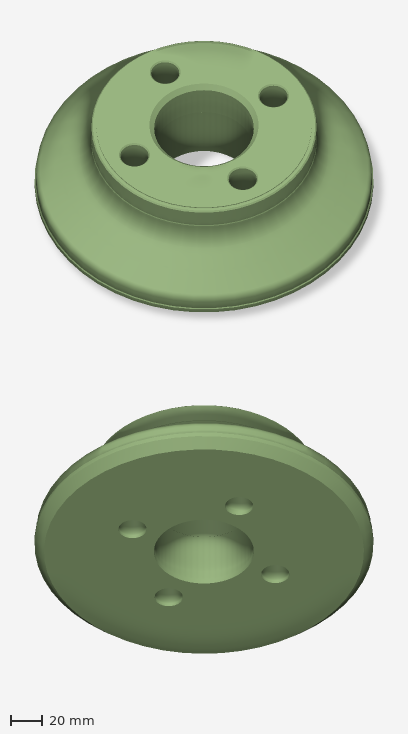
import cadquery as cq
import math

rim_diameter = 216.0
rim_height = 9.0
rim_chamfer = 6.0

total_height = 63.0
skirt_radius = 214.0 / 2
skirt_round_start = 15.1
skirt_round_radius = 5.2
flare_angle = math.radians(32.2)
neck_radius = 144.0 / 2
neck_height = 48.6
neck_fillet_radius = 15.1

flange_radius = 143.5 / 2
flange_chamfer = 0.9
neck_bevel_height = 0.6
top_face_radius = 137.5 / 2
top_step_height = 0.6

bore_diameter = 63.5
lower_bore_diameter = 63.7
lower_bore_height = 38.5
bore_chamfer = 3.0

bolt_hole_diameter = 18.0
bolt_hole_chamfer = 0.9
bolt_spacing = 71.7


def arc_point(center, radius, angle):
    """Point on a circle in the (radius, height) plane."""
    return (center[0] + radius * math.cos(angle), center[1] + radius * math.sin(angle))


def make_hub():
    """Revolve the flared outline, with its rounded skirt edge and filleted neck."""
    flare_normal = math.pi / 2 - flare_angle
    skirt_center = (skirt_radius - skirt_round_radius, skirt_round_start)
    neck_center = (neck_radius + neck_fillet_radius, neck_height)
    flange_top = total_height - top_step_height

    outline = (
        cq.Workplane("XZ")
        .moveTo(0, rim_height)
        .lineTo(skirt_radius, rim_height)
        .lineTo(skirt_radius, skirt_round_start)
        .threePointArc(
            arc_point(skirt_center, skirt_round_radius, flare_normal / 2),
            arc_point(skirt_center, skirt_round_radius, flare_normal),
        )
        .lineTo(*arc_point(neck_center, neck_fillet_radius, math.pi + flare_normal))
        .threePointArc(
            arc_point(neck_center, neck_fillet_radius, math.pi + flare_normal / 2),
            (neck_radius, neck_height),
        )
        .lineTo(flange_radius, neck_height + neck_bevel_height)
        .lineTo(flange_radius, flange_top - flange_chamfer)
        .lineTo(flange_radius - flange_chamfer, flange_top)
        .lineTo(top_face_radius, flange_top)
        .lineTo(top_face_radius, total_height)
        .lineTo(0, total_height)
        .close()
    )
    return outline.revolve(360, (0, 0, 0), (0, 1, 0))


def make_rim():
    """Flat disc with a chamfered lower edge."""
    disc = cq.Workplane("XY").circle(rim_diameter / 2).extrude(rim_height)
    return disc.faces("<Z").edges().chamfer(rim_chamfer)


def make_bore():
    """Cutter for the stepped central bore with its entry chamfer."""
    lower = cq.Workplane("XY").circle(lower_bore_diameter / 2).extrude(lower_bore_height)
    upper = cq.Workplane("XY").circle(bore_diameter / 2).extrude(total_height)
    return upper.union(lower).union(make_countersink(bore_diameter, bore_chamfer))


def make_countersink(hole_diameter, chamfer):
    """Cone on the Z axis that chamfers a hole at the top face by 45 degrees."""
    hole_radius = hole_diameter / 2
    base = cq.Vector(0, 0, total_height - chamfer)
    cone = cq.Solid.makeCone(hole_radius, hole_radius + chamfer, chamfer, pnt=base)
    return cq.Workplane(obj=cone)


def make_bolt_hole():
    """Cutter for one chamfered through hole on the Z axis."""
    shaft = cq.Workplane("XY").circle(bolt_hole_diameter / 2).extrude(total_height)
    return shaft.union(make_countersink(bolt_hole_diameter, bolt_hole_chamfer))


def cut_holes(body):
    """Cut the bore and the four bolt holes, which pass through both bodies."""
    body = body.cut(make_bore())
    for x_side in (-1, 1):
        for y_side in (-1, 1):
            position = cq.Vector(x_side * bolt_spacing / 2, y_side * bolt_spacing / 2, 0)
            body = body.cut(make_bolt_hole().translate(position))
    return body


hub = cut_holes(make_hub())
rim = cut_holes(make_rim())

result = cq.Compound.makeCompound([hub.val(), rim.val()])